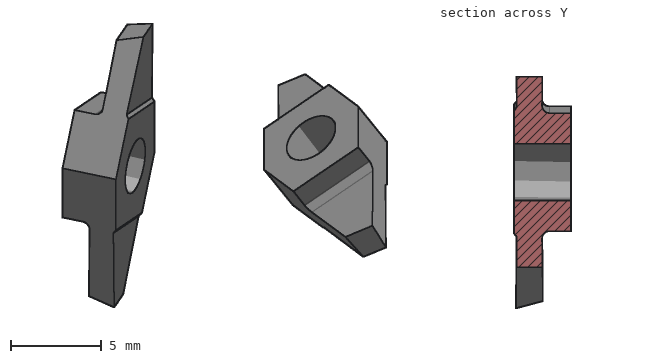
import cadquery as cq
import math

thickness = 3.15
width = 6.0
height = 15.0
left_x = -thickness / 2
right_x = thickness / 2

tip_width = 1.44
shoulder_z = 0.95
bore_diameter = 3.1

root_left_x = 0.02
root_right_x = 1.42
arm_taper = 0.05
tip_bevel_angle = 15.0

step_angle = 18.0
left_step_distance = 3.1
left_step_radius = 0.39
right_step_distance = 3.21
right_step_run = 0.21

tilt = math.radians(step_angle)
tip_distance = height / 2 * math.cos(tilt) + width / 2 * math.sin(tilt)

clearance = 3.0
reach = height / 2 + clearance


def make_blank():
    """Point-symmetric hexagonal plate with one cut-off corner at each end."""
    half_width = width / 2
    half_height = height / 2
    tip_y = half_width - tip_width
    outline = [
        (half_width, half_height),
        (tip_y, half_height),
        (-half_width, shoulder_z),
        (-half_width, -half_height),
        (-tip_y, -half_height),
        (half_width, -shoulder_z),
    ]
    blank = cq.Workplane("YZ").polyline(outline).close().extrude(thickness)
    return blank.translate((left_x, 0, 0))


def extrude_across(profile):
    """Extrude a closed XZ profile along Y, symmetrically."""
    return profile.close().extrude(reach, both=True)


def make_step_cutters():
    """Relief on both sides of the upper arm, tilted to follow the step."""
    fillet_end_z = left_step_distance + left_step_radius
    fillet_start_x = root_left_x - left_step_radius
    diagonal = left_step_radius * math.sqrt(0.5)
    fillet_middle = (fillet_start_x + diagonal, fillet_end_z - diagonal)
    left = (
        cq.Workplane("XZ")
        .moveTo(left_x - clearance, left_step_distance)
        .lineTo(fillet_start_x, left_step_distance)
        .threePointArc(fillet_middle, (root_left_x, fillet_end_z))
        .lineTo(root_left_x - arm_taper, tip_distance)
        .lineTo(root_left_x - arm_taper, reach)
        .lineTo(left_x - clearance, reach)
    )
    right = (
        cq.Workplane("XZ")
        .moveTo(right_x + clearance, right_step_distance)
        .lineTo(right_x, right_step_distance)
        .lineTo(root_right_x, right_step_distance + right_step_run)
        .lineTo(root_right_x + arm_taper, tip_distance)
        .lineTo(root_right_x + arm_taper, reach)
        .lineTo(right_x + clearance, reach)
    )
    cutters = extrude_across(left).union(extrude_across(right))
    return cutters.rotate((0, 0, 0), (1, 0, 0), -step_angle)


def make_tip_cutter():
    """Wedge that bevels the tip down towards -X from its highest edge."""
    edge_x = root_right_x + arm_taper
    drop = (edge_x - left_x) * math.tan(math.radians(tip_bevel_angle))
    wedge = (
        cq.Workplane("XZ")
        .moveTo(edge_x, height / 2)
        .lineTo(left_x, height / 2 - drop)
        .lineTo(left_x, reach)
        .lineTo(edge_x, reach)
    )
    return extrude_across(wedge)


result = make_blank()
arm_cutters = [make_step_cutters(), make_tip_cutter()]
for turn in (0, 180):
    for cutter in arm_cutters:
        result = result.cut(cutter.rotate((0, 0, 0), (1, 0, 0), turn))

bore = cq.Workplane("YZ").circle(bore_diameter / 2).extrude(thickness, both=True)
result = result.cut(bore)